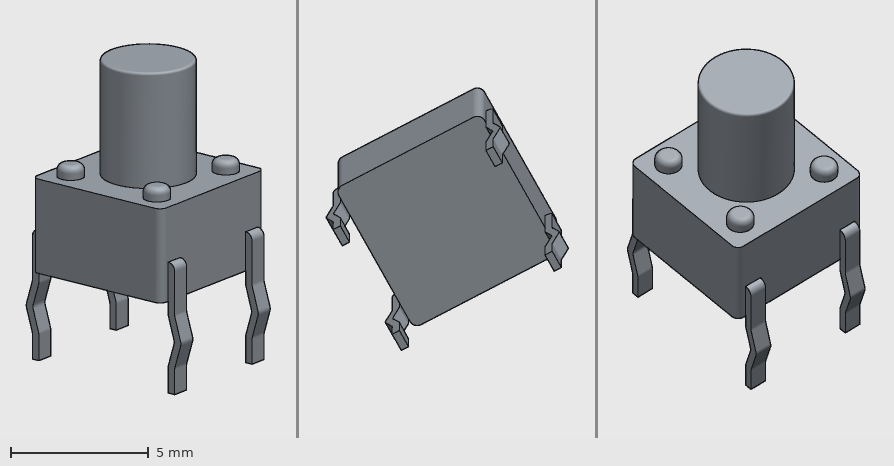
import cadquery as cq
import math

body_side = 6.0
body_height = 3.6
body_corner_radius = 0.3
body_half = body_side / 2

button_diameter = 3.5
button_top_z = 8.0
button_edge_radius = 0.1

peg_diameter = 1.0
peg_height = 0.5
peg_edge_radius = 0.25
peg_pitch = 4.0

leg_thickness = 0.3
leg_width = 0.7
leg_pitch = 4.5
leg_top_z = 1.5
leg_bottom_z = -3.5
kink_center_z = -1.5
kink_half_height = 1.0
kink_depth = 0.3
bend_radius = 0.3


def make_body():
    return (
        cq.Workplane("XY")
        .box(body_side, body_side, body_height, centered=(True, True, False))
        .edges("|Z")
        .fillet(body_corner_radius)
    )


def make_button():
    return (
        cq.Workplane("XY")
        .circle(button_diameter / 2)
        .extrude(button_top_z)
        .faces(">Z")
        .edges()
        .fillet(button_edge_radius)
    )


def make_pegs():
    return (
        cq.Workplane("XY")
        .workplane(offset=body_height)
        .rect(peg_pitch, peg_pitch, forConstruction=True)
        .vertices()
        .circle(peg_diameter / 2)
        .extrude(peg_height)
        .faces(">Z")
        .edges()
        .fillet(peg_edge_radius)
    )


def make_right_leg(y_center):
    """One +X leg: a constant-thickness strip with a V-shaped outward kink."""
    inner_x = body_half
    outer_x = inner_x + leg_thickness
    slope_angle = math.atan2(kink_depth, kink_half_height)
    bend_shift = leg_thickness * math.tan(slope_angle / 2)
    outer_upper_z = kink_center_z + kink_half_height
    outer_lower_z = kink_center_z - kink_half_height
    outer_peak_x = outer_x + kink_depth
    inner_peak_x = outer_peak_x - leg_thickness / math.cos(slope_angle)

    leg = (
        cq.Workplane("XZ")
        .moveTo(inner_x, leg_top_z)
        .radiusArc((outer_x, leg_top_z - leg_thickness), leg_thickness)
        .lineTo(outer_x, outer_upper_z)
        .lineTo(outer_peak_x, kink_center_z)
        .lineTo(outer_x, outer_lower_z)
        .lineTo(outer_x, leg_bottom_z)
        .lineTo(inner_x, leg_bottom_z)
        .lineTo(inner_x, outer_lower_z + bend_shift)
        .lineTo(inner_peak_x, kink_center_z)
        .lineTo(inner_x, outer_upper_z - bend_shift)
        .close()
        .extrude(leg_width / 2, both=True)
    )
    kink_zone = cq.selectors.BoxSelector(
        (0, -leg_width, outer_lower_z - bend_shift),
        (body_side, leg_width, outer_upper_z + bend_shift),
    )
    leg = leg.edges("|Y").edges(kink_zone).fillet(bend_radius)
    return leg.translate((0, y_center, 0))


result = make_body().union(make_button()).union(make_pegs())
for y_center in (-leg_pitch / 2, leg_pitch / 2):
    right_leg = make_right_leg(y_center)
    left_leg = right_leg.mirror("YZ")
    result = result.union(right_leg).union(left_leg)